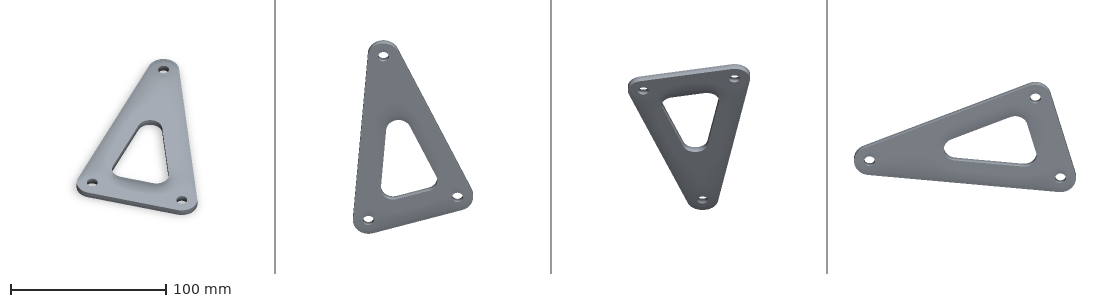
import cadquery as cq
import math

thickness = 4.0
corner_radius = 10.0
hole_diameter = 7.0
base_span = 60.0
apex_offset = 15.0
apex_height = 115.0

window_radius = 8.0
window_base_span = 21.3
window_left = 16.5
window_bottom = 18.1
window_ratio = window_base_span / base_span

hole_centres = [(0, 0), (base_span, 0), (apex_offset, apex_height)]
window_centres = [
    (window_left + window_ratio * x, window_bottom + window_ratio * y)
    for x, y in hole_centres
]


def rounded_polygon(centres, radius):
    """Extrude the outline tangent to equal circles at counter-clockwise centres."""
    count = len(centres)
    edge_angles = []
    for i, (x, y) in enumerate(centres):
        next_x, next_y = centres[(i + 1) % count]
        edge_angles.append(math.atan2(next_y - y, next_x - x))

    def on_circle(centre, travel_angle):
        """Point where a tangent in the travel direction touches the circle."""
        x, y = centre
        return (x + radius * math.sin(travel_angle), y - radius * math.cos(travel_angle))

    outline = cq.Workplane("XY").moveTo(*on_circle(centres[0], edge_angles[0]))
    for i in range(count):
        corner = centres[(i + 1) % count]
        angle_in = edge_angles[i]
        angle_out = edge_angles[(i + 1) % count]
        turn = (angle_out - angle_in) % (2 * math.pi)
        outline = outline.lineTo(*on_circle(corner, angle_in))
        outline = outline.threePointArc(
            on_circle(corner, angle_in + turn / 2),
            on_circle(corner, angle_out),
        )
    return outline.close().extrude(thickness)


plate = rounded_polygon(hole_centres, corner_radius)
window = rounded_polygon(window_centres, window_radius)
holes = cq.Workplane("XY").pushPoints(hole_centres).circle(hole_diameter / 2).extrude(thickness)

result = plate.cut(window).cut(holes)